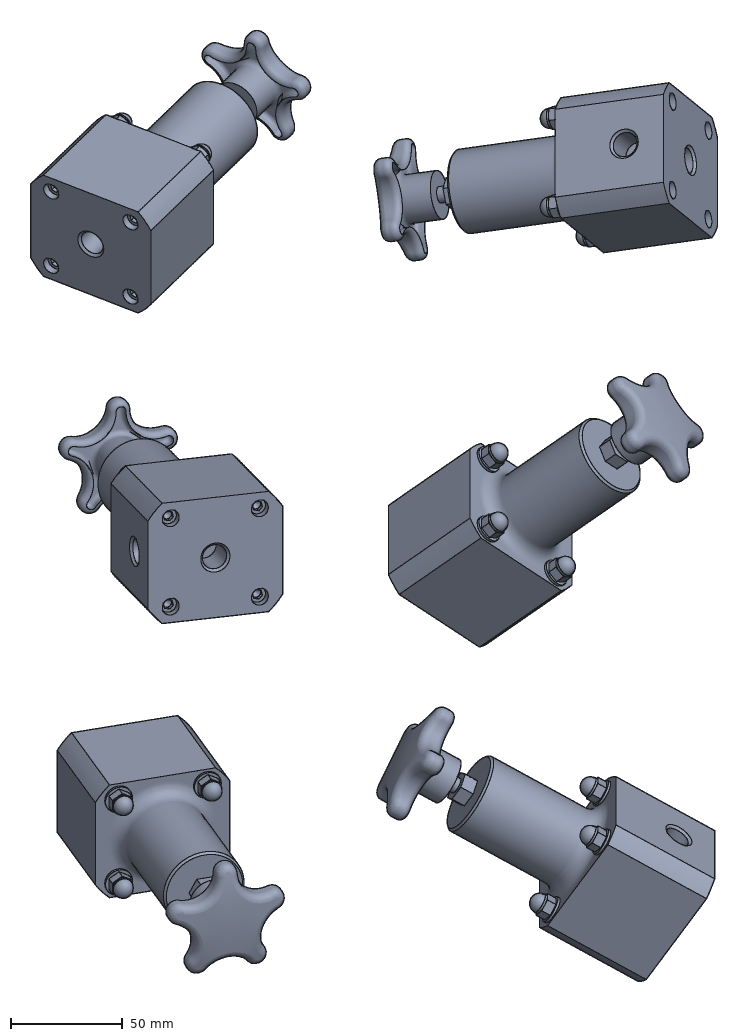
import cadquery as cq
import math


block_width = 63.5
block_height = 57.1
block_length = 52.3
block_round_diameter = 76.0

port_diameter = 11.4
port_mouth_diameter = 13.7
port_mouth_depth = 1.2
port_depth = 16.0
side_port_y = 19.0

barrel_diameter = 38.1
barrel_end_y = 110.0
barrel_chamfer = 1.0
barrel_foot_radius = 6.4

stem_diameter = 7.5
lock_nut_across_flats = 12.7
lock_nut_corner_angle = 0.0
lock_nut_end_y = 116.5

bolt_spacing = 41.9
bolt_hole_diameter = 7.9
bolt_hole_depth = 5.8
bolt_head_diameter = 7.5
bolt_head_recess = 3.4
socket_across_flats = 4.2
socket_depth = 2.2
socket_corner_angle = 15.0
washer_diameter = 12.7
washer_thickness = 1.2
cap_nut_across_flats = 9.5
cap_nut_corner_angle = 90.0
cap_nut_hex_height = 4.5
cap_nut_neck_height = 1.0
cap_nut_dome_diameter = 9.2

crown_y = 146.0
rim_bottom_y = 133.8
hub_diameter = 22.0
hub_start_y = 121.0
lobe_count = 5
lobe_center_radius = 23.5
lobe_radius = 5.0
crown_sphere_radius = 102.2
rim_round = 2.9
rim_edge_inset = 2.6
crown_round = 3.5
underside_depth = 4.4
underside_round = 2.0
hub_root_round = 2.6
first_lobe_angle = 90.0

CORNERS_PER_FLATS = 1 / math.cos(math.pi / 6)


def section_plane(y):
    """Plane across the valve axis at the given Y, local x = X and local y = Z."""
    return cq.Workplane("XZ", origin=(0, y, 0))


def disc(diameter, start_y, end_y):
    return section_plane(start_y).circle(diameter / 2).extrude(start_y - end_y)


def hexagon(across_flats, start_y, end_y, corner_angle):
    """Hexagonal prism along Y with one corner at corner_angle from +X."""
    prism = section_plane(start_y).polygon(6, across_flats * CORNERS_PER_FLATS).extrude(start_y - end_y)
    return prism.rotate((0, 0, 0), (0, 1, 0), corner_angle)


def make_block():
    box = section_plane(0).rect(block_width, block_height).extrude(-block_length)
    return box.intersect(disc(block_round_diameter, 0, block_length))


def make_port():
    """Flat-bottomed port with a tapered mouth, opening at the origin and running along +Y."""
    return (
        cq.Workplane("XY")
        .moveTo(0, 0)
        .lineTo(port_mouth_diameter / 2, 0)
        .lineTo(port_diameter / 2, port_mouth_depth)
        .lineTo(port_diameter / 2, port_depth)
        .lineTo(0, port_depth)
        .close()
        .revolve(360, (0, 0), (0, 1))
    )


def concave_foot(diameter, radius, base_y, direction):
    """Solid foot that flares a cylinder of the given diameter out to a face at base_y.

    direction is +1 when the cylinder rises from the face toward +Y, -1 toward -Y.
    """
    side = diameter / 2
    mid_offset = radius * (1 - math.sqrt(0.5))
    return (
        cq.Workplane("XY")
        .moveTo(0, base_y)
        .lineTo(side + radius, base_y)
        .threePointArc(
            (side + mid_offset, base_y + direction * mid_offset),
            (side, base_y + direction * radius),
        )
        .lineTo(0, base_y + direction * radius)
        .close()
        .revolve(360, (0, 0), (0, 1))
    )


def make_barrel():
    """Barrel with a chamfered end and a concave foot flaring onto the block."""
    barrel = disc(barrel_diameter, block_length, barrel_end_y).faces(">Y").chamfer(barrel_chamfer)
    return barrel.union(concave_foot(barrel_diameter, barrel_foot_radius, block_length, 1))


def make_bolt_pocket():
    """Counterbore around a recessed bolt head with a cone-bottomed hexagon socket."""
    socket_end_y = bolt_head_recess + socket_depth
    cone_size = socket_across_flats / 2
    cone = cq.Workplane(
        cq.Solid.makeCone(
            cone_size, 0, cone_size,
            cq.Vector(0, socket_end_y, 0), cq.Vector(0, 1, 0),
        )
    )
    head = disc(bolt_head_diameter, bolt_head_recess, bolt_hole_depth)
    pocket = disc(bolt_hole_diameter, 0, bolt_hole_depth).cut(head)
    socket = hexagon(socket_across_flats, bolt_head_recess, socket_end_y, socket_corner_angle)
    return pocket.union(socket).union(cone)


def make_cap_nut():
    """Washer and domed nut standing on the back face of the block."""
    washer_top = block_length + washer_thickness
    hex_top = washer_top + cap_nut_hex_height
    neck_top = hex_top + cap_nut_neck_height
    dome_radius = cap_nut_dome_diameter / 2
    washer = disc(washer_diameter, block_length, washer_top)
    nut = hexagon(cap_nut_across_flats, washer_top, hex_top, cap_nut_corner_angle)
    neck = disc(cap_nut_across_flats, hex_top, neck_top)
    dome = cq.Workplane("XY", origin=(0, neck_top, 0)).sphere(dome_radius)
    return washer.union(nut).union(neck).union(dome)


def polar(radius, angle):
    return (radius * math.cos(math.radians(angle)), radius * math.sin(math.radians(angle)))


def lobe_outline(y, inset):
    """Star of round lobes joined by tangent concave arcs, shrunk by inset all round."""
    pitch = 360 / lobe_count
    half_pitch = math.radians(pitch / 2)
    tip_radius = lobe_radius - inset
    valley_center_radius = lobe_center_radius / math.cos(half_pitch)
    valley_arc_radius = lobe_center_radius * math.tan(half_pitch) - tip_radius
    side_radius = math.hypot(lobe_center_radius, tip_radius)
    side_angle = math.degrees(math.atan2(tip_radius, lobe_center_radius))
    outline = section_plane(y).moveTo(*polar(side_radius, first_lobe_angle - side_angle))
    for index in range(lobe_count):
        angle = first_lobe_angle + index * pitch
        outline = outline.threePointArc(
            polar(lobe_center_radius + tip_radius, angle),
            polar(side_radius, angle + side_angle),
        ).threePointArc(
            polar(valley_center_radius - valley_arc_radius, angle + pitch / 2),
            polar(side_radius, angle + pitch - side_angle),
        )
    return outline.close()


def make_handwheel():
    """Domed five-lobe wheel, rounded at the rim and hollow underneath around its hub."""
    rim = lobe_outline(rim_bottom_y, 0).extrude(rim_bottom_y - crown_y)
    crown = cq.Workplane("XY", origin=(0, crown_y - crown_sphere_radius, 0)).sphere(crown_sphere_radius)
    wheel = rim.intersect(crown)
    wheel = wheel.faces("<Y").edges().fillet(rim_round)
    wheel = wheel.faces("%SPHERE").edges().fillet(crown_round)
    floor_y = rim_bottom_y + underside_depth
    hollow = lobe_outline(rim_bottom_y, rim_edge_inset).extrude(-underside_depth)
    hollow = hollow.faces(">Y").edges().fillet(underside_round)
    hub = disc(hub_diameter, hub_start_y, floor_y)
    hub = hub.union(concave_foot(hub_diameter, hub_root_round, floor_y, -1))
    return wheel.cut(hollow).union(hub)


block = make_block().cut(make_port())
side_port = make_port().rotate((0, 0, 0), (0, 0, 1), -90).translate((-block_width / 2, side_port_y, 0))
block = block.cut(side_port)

result = block.union(make_barrel())
for x_side in (-1, 1):
    for z_side in (-1, 1):
        bolt_axis = (x_side * bolt_spacing / 2, 0, z_side * bolt_spacing / 2)
        result = result.cut(make_bolt_pocket().translate(bolt_axis))
        result = result.union(make_cap_nut().translate(bolt_axis))

result = result.union(hexagon(lock_nut_across_flats, barrel_end_y, lock_nut_end_y, lock_nut_corner_angle))
result = result.union(disc(stem_diameter, lock_nut_end_y, hub_start_y))
result = result.union(make_handwheel())